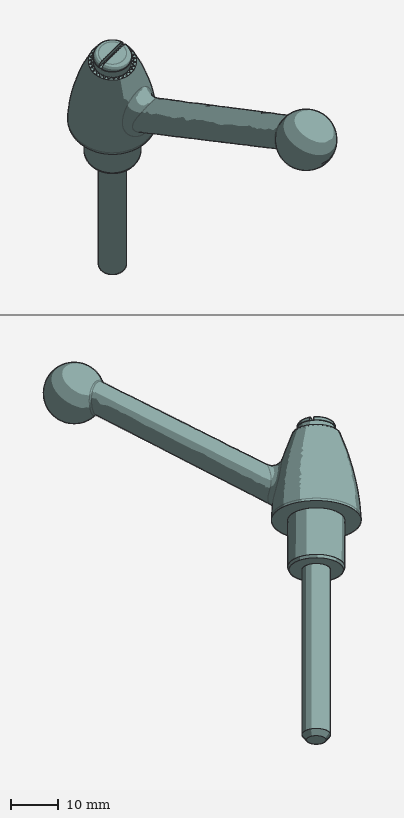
import cadquery as cq
import math


rod_diameter = 6.0
rod_tip_inset = 0.9
rod_tip_height = 1.2
collar_diameter = 12.0
collar_bottom = 39.9
collar_edge_inset = 0.3
collar_edge_height = 0.7

hub_bottom = 51.4
hub_lip_height = 0.6
hub_top = 71.4
hub_base_diameter = 18.9
hub_base_radius = hub_base_diameter / 2
hub_mid_radius = 8.2
hub_mid_height = 61.5
hub_top_radius = 5.1

tooth_count = 30
serration_root_radius = 4.9
serration_tip_radius = 4.2
serration_depth = 0.5

screw_neck_diameter = 8.0
screw_head_diameter = 8.2
screw_head_height = 1.2
screw_top = 74.2
screw_edge_radius = 1.1
slot_width = 0.8
slot_depth = 1.2

arm_angle = 33.7
arm_axis_height = 54.2
arm_start = 3.8
arm_end = 63.0
arm_start_size = (7.2, 8.2)
arm_end_size = (6.7, 8.0)
arm_root_fillet = 2.35
root_clearance = 0.1

overall_height = 94.0
overall_length = 68.3
lever_reach = overall_length - hub_base_radius
ball_radius = 6.5
ball_neck_fillet = 0.5
ball_center = (lever_reach - ball_radius, 0, overall_height - ball_radius)


def cylinder(diameter, bottom, top):
    return cq.Workplane("XY").workplane(offset=bottom).circle(diameter / 2).extrude(top - bottom)


def make_hub():
    profile = (
        cq.Workplane("XZ")
        .moveTo(0, hub_bottom)
        .lineTo(hub_base_radius, hub_bottom)
        .lineTo(hub_base_radius, hub_bottom + hub_lip_height)
        .threePointArc((hub_mid_radius, hub_mid_height), (hub_top_radius, hub_top))
        .lineTo(0, hub_top)
        .close()
    )
    return profile.revolve(360, (0, 0), (0, 1)).rotate((0, 0, 0), (0, 0, 1), 180)


def make_arm():
    angle = math.radians(arm_angle)
    direction = cq.Vector(math.cos(angle), 0, math.sin(angle))
    across = cq.Vector(math.sin(angle), 0, -math.cos(angle))
    start_center = cq.Vector(0, 0, arm_axis_height) + direction * arm_start
    start_plane = cq.Plane(origin=start_center, xDir=across, normal=direction)
    return (
        cq.Workplane(start_plane)
        .ellipse(arm_start_size[0] / 2, arm_start_size[1] / 2)
        .workplane(offset=arm_end - arm_start)
        .ellipse(arm_end_size[0] / 2, arm_end_size[1] / 2)
        .loft()
    )


def make_lever():
    """Hub, arm and ball with the two arm joints blended."""
    root_zone = cq.selectors.BoxSelector(
        (root_clearance, -hub_base_radius, hub_bottom + hub_lip_height + root_clearance),
        (2 * hub_base_radius, hub_base_radius, hub_top - root_clearance),
    )
    ball_zone = cq.selectors.BoxSelector(
        tuple(c - ball_radius for c in ball_center),
        tuple(c + ball_radius for c in ball_center),
    )
    ball = cq.Workplane("XY").sphere(ball_radius).translate(ball_center)
    lever = make_hub().union(make_arm())
    lever = lever.edges(root_zone).edges("not %LINE").fillet(arm_root_fillet)
    lever = lever.union(ball)
    return lever.edges(ball_zone).edges("%BSPLINE").fillet(ball_neck_fillet)


def make_serration():
    points = []
    for i in range(2 * tooth_count):
        radius = serration_root_radius if i % 2 == 0 else serration_tip_radius
        angle = math.pi * i / tooth_count
        points.append((radius * math.cos(angle), radius * math.sin(angle)))
    floor = cq.Workplane("XY").workplane(offset=hub_top - serration_depth)
    return floor.polyline(points).close().extrude(serration_depth)


def make_screw():
    head_bottom = screw_top - screw_head_height
    neck = cylinder(screw_neck_diameter, hub_top - serration_depth, head_bottom)
    head = cylinder(screw_head_diameter, head_bottom, screw_top)
    head = head.faces(">Z").edges().fillet(screw_edge_radius)
    slot = (
        cq.Workplane("XY")
        .workplane(offset=screw_top - slot_depth)
        .rect(slot_width, screw_head_diameter)
        .extrude(slot_depth)
    )
    return neck.union(head).cut(slot)


def make_rod():
    rod = cylinder(rod_diameter, 0, collar_bottom)
    return rod.faces("<Z").chamfer(rod_tip_height, rod_tip_inset)


def make_collar():
    collar = cylinder(collar_diameter, collar_bottom, hub_bottom)
    return collar.faces("<Z").chamfer(collar_edge_height, collar_edge_inset)


result = make_lever().cut(make_serration()).union(make_screw()).union(make_collar()).union(make_rod())